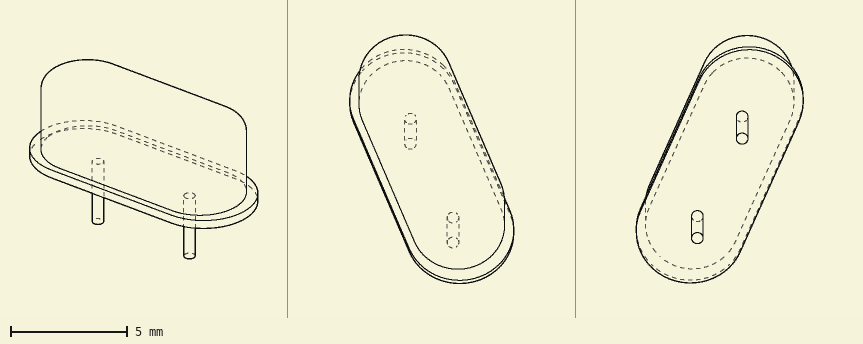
import cadquery as cq

flange_length = 11.05
flange_width = 4.65
flange_thickness = 0.4

can_length = 10.0
can_width = 4.0
can_height = 3.5
can_top_radius = 0.5

pin_diameter = 0.5
pin_length = 3.0
pin_spacing = 4.88


def make_housing():
    """Flange and can as one solid, with the flange underside at Z = 0."""
    flange = cq.Workplane("XY").slot2D(flange_length, flange_width).extrude(flange_thickness)
    can = (
        cq.Workplane("XY")
        .workplane(offset=flange_thickness)
        .slot2D(can_length, can_width)
        .extrude(can_height)
        .faces(">Z")
        .edges()
        .fillet(can_top_radius)
    )
    return flange.union(can)


def make_pin(x):
    """Round lead pin hanging from the flange underside at the given X."""
    return cq.Workplane("XY").center(x, 0).circle(pin_diameter / 2).extrude(-pin_length)


housing = make_housing()
pins = [make_pin(side * pin_spacing / 2) for side in (-1, 1)]

result = cq.Compound.makeCompound([housing.val(), *[pin.val() for pin in pins]])